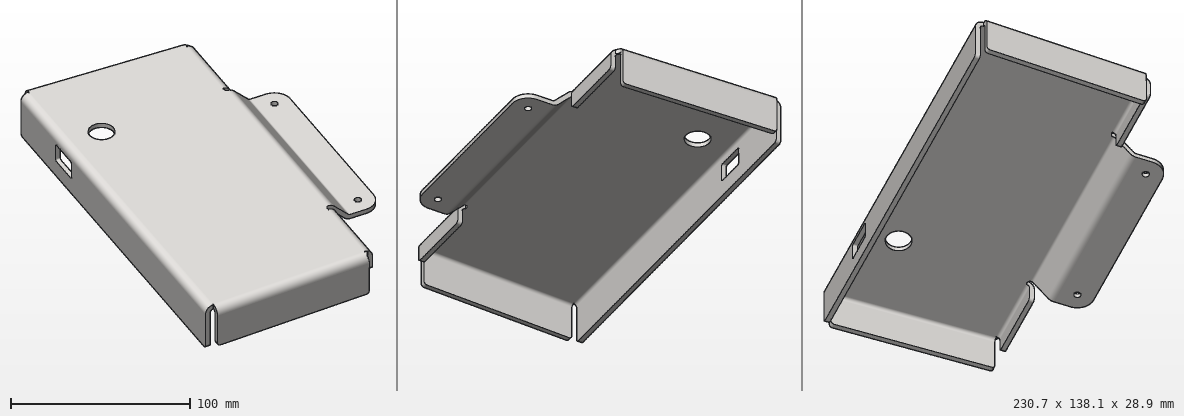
import cadquery as cq
import math

SHEET = 3.0
INNER_RADIUS = 2.0
OUTER_RADIUS = INNER_RADIUS + SHEET

PLATE_FRONT_HALF = 110.373
PLATE_DEPTH = 97.6
TAPER_DEG = 2.0
PLATE_FRONT_Y = OUTER_RADIUS
PLATE_REAR_Y = PLATE_FRONT_Y + PLATE_DEPTH
PLATE_REAR_HALF = PLATE_FRONT_HALF - PLATE_DEPTH * math.tan(math.radians(TAPER_DEG))

FRONT_WALL_HEIGHT = 28.89
FRONT_WALL_HALF = 110.75
SIDE_WALL_HEIGHT = 26.0
SIDE_WALL_LENGTH = PLATE_DEPTH / math.cos(math.radians(TAPER_DEG))
REAR_WALL_HEIGHT = 14.0
REAR_WALL_OUTER_X = 106.6
REAR_WALL_INNER_X = 63.0
WALL_CORNER_RADIUS = 2.0

TAB_WIDTH = 120.0
TAB_END_Y = 138.08
TAB_DROP = 11.0
TAB_BEND_DEG = 45.0
TAB_ROOT_LENGTH = 1.6
TAB_BEND_Y = PLATE_REAR_Y + TAB_ROOT_LENGTH
TAB_CORNER_RADIUS = 10.0
TAB_HOLE_DIAMETER = 4.0
TAB_HOLE_SPACING = 100.0
TAB_HOLE_INSET = 10.0

OPENING_X = -59.5
ROUND_HOLE_DIAMETER = 15.0
ROUND_HOLE_Y = 24.0
WINDOW_WIDTH = 18.8
WINDOW_TOP = 7.0
WINDOW_HEIGHT = 11.4
WINDOW_CORNER_RADIUS = 1.0

SLOT_WEB_RADIUS = TAB_ROOT_LENGTH
CORNER_WEB_RADIUS = 3.5


def folded_wall(length, height):
    """Wall folded down from a bend line along X at the origin, facing +Y, centred on X."""
    diagonal = math.sqrt(0.5)
    profile = (
        cq.Workplane("YZ")
        .moveTo(0, 0)
        .threePointArc(
            (OUTER_RADIUS * diagonal, OUTER_RADIUS * (diagonal - 1)),
            (OUTER_RADIUS, -OUTER_RADIUS),
        )
        .lineTo(OUTER_RADIUS, -height)
        .lineTo(INNER_RADIUS, -height)
        .lineTo(INNER_RADIUS, -OUTER_RADIUS)
        .threePointArc(
            (INNER_RADIUS * diagonal, INNER_RADIUS * diagonal - OUTER_RADIUS),
            (0, -SHEET),
        )
        .close()
    )
    wall = profile.extrude(length / 2, both=True)
    return wall.faces("<Z").edges("|Y").fillet(WALL_CORNER_RADIUS)


def web_prism(corner_x, direction, radius, height):
    """Concave fillet prism on the rear plate edge, reaching from corner_x along +X or -X."""
    to_arc = radius * (1 - math.sqrt(0.5))
    return (
        cq.Workplane("XY")
        .moveTo(corner_x, PLATE_REAR_Y)
        .lineTo(corner_x + direction * radius, PLATE_REAR_Y)
        .threePointArc(
            (corner_x + direction * to_arc, PLATE_REAR_Y + to_arc),
            (corner_x, PLATE_REAR_Y + radius),
        )
        .close()
        .extrude(-height)
    )


def plate():
    outline = [
        (-PLATE_FRONT_HALF, PLATE_FRONT_Y),
        (PLATE_FRONT_HALF, PLATE_FRONT_Y),
        (PLATE_REAR_HALF, PLATE_REAR_Y),
        (-PLATE_REAR_HALF, PLATE_REAR_Y),
    ]
    return cq.Workplane("XY").polyline(outline).close().extrude(-SHEET)


def front_wall():
    wall = folded_wall(2 * FRONT_WALL_HALF, FRONT_WALL_HEIGHT)
    return wall.rotate((0, 0, 0), (0, 0, 1), 180).translate((0, PLATE_FRONT_Y, 0))


def side_wall(side, extra_length=0):
    """Wall on the +X (side = 1) or -X (side = -1) edge, following the taper."""
    turn = -side * (90 - TAPER_DEG)
    middle_x = side * (PLATE_FRONT_HALF + PLATE_REAR_HALF) / 2
    middle_y = (PLATE_FRONT_Y + PLATE_REAR_Y) / 2
    wall = folded_wall(SIDE_WALL_LENGTH + extra_length, SIDE_WALL_HEIGHT)
    return wall.rotate((0, 0, 0), (0, 0, 1), turn).translate((middle_x, middle_y, 0))


def rear_wall(side, extra_length=0):
    wall = folded_wall(REAR_WALL_OUTER_X - REAR_WALL_INNER_X + extra_length, REAR_WALL_HEIGHT)
    middle_x = side * (REAR_WALL_OUTER_X + REAR_WALL_INNER_X) / 2
    return wall.translate((middle_x, PLATE_REAR_Y, 0))


def corner_web(side):
    """Web between the rear and side bends, following the curvature of both."""
    extra = 4 * CORNER_WEB_RADIUS
    prism = web_prism(side * REAR_WALL_OUTER_X, side, CORNER_WEB_RADIUS, OUTER_RADIUS)
    return prism.intersect(rear_wall(side, extra)).intersect(side_wall(side, extra))


def slot_web(side):
    """Web between the tab root and the floor of the slot beside it."""
    return web_prism(side * TAB_WIDTH / 2, side, SLOT_WEB_RADIUS, SHEET)


def mounting_tab():
    angle = math.radians(TAB_BEND_DEG)
    bend_rise = (OUTER_RADIUS + INNER_RADIUS) * (1 - math.cos(angle))
    slope_run = (TAB_DROP - bend_rise) / math.tan(angle)
    lower_bend_y = TAB_BEND_Y + slope_run + (OUTER_RADIUS + INNER_RADIUS) * math.sin(angle)
    lower_center_z = INNER_RADIUS - TAB_DROP

    def upper_point(radius, turn):
        return (TAB_BEND_Y + radius * math.sin(turn), radius * math.cos(turn) - OUTER_RADIUS)

    def lower_point(radius, turn):
        return (lower_bend_y - radius * math.sin(turn), lower_center_z - radius * math.cos(turn))

    profile = (
        cq.Workplane("YZ")
        .moveTo(PLATE_REAR_Y, 0)
        .lineTo(TAB_BEND_Y, 0)
        .threePointArc(upper_point(OUTER_RADIUS, angle / 2), upper_point(OUTER_RADIUS, angle))
        .lineTo(*lower_point(INNER_RADIUS, angle))
        .threePointArc(lower_point(INNER_RADIUS, angle / 2), lower_point(INNER_RADIUS, 0))
        .lineTo(TAB_END_Y, -TAB_DROP)
        .lineTo(TAB_END_Y, -TAB_DROP - SHEET)
        .lineTo(*lower_point(OUTER_RADIUS, 0))
        .threePointArc(lower_point(OUTER_RADIUS, angle / 2), lower_point(OUTER_RADIUS, angle))
        .lineTo(*upper_point(INNER_RADIUS, angle))
        .threePointArc(upper_point(INNER_RADIUS, angle / 2), upper_point(INNER_RADIUS, 0))
        .lineTo(PLATE_REAR_Y, -SHEET)
        .close()
    )
    tab = profile.extrude(TAB_WIDTH / 2, both=True)
    tab = tab.faces(">Y").edges("|Z").fillet(TAB_CORNER_RADIUS)
    hole_y = TAB_END_Y - TAB_HOLE_INSET
    holes = (
        cq.Workplane("XY")
        .pushPoints([(-TAB_HOLE_SPACING / 2, hole_y), (TAB_HOLE_SPACING / 2, hole_y)])
        .circle(TAB_HOLE_DIAMETER / 2)
        .extrude(-TAB_DROP - SHEET)
    )
    return tab.cut(holes)


def round_hole():
    return (
        cq.Workplane("XY")
        .center(OPENING_X, ROUND_HOLE_Y)
        .circle(ROUND_HOLE_DIAMETER / 2)
        .extrude(-SHEET)
    )


def window():
    return (
        cq.Workplane("XY")
        .box(WINDOW_WIDTH, SHEET, WINDOW_HEIGHT)
        .edges("|Y")
        .fillet(WINDOW_CORNER_RADIUS)
        .translate((OPENING_X, SHEET / 2, -WINDOW_TOP - WINDOW_HEIGHT / 2))
    )


body = plate().union(front_wall()).union(mounting_tab())
for side in (-1, 1):
    body = body.union(side_wall(side)).union(rear_wall(side))
    body = body.union(corner_web(side)).union(slot_web(side))
result = body.cut(round_hole()).cut(window())